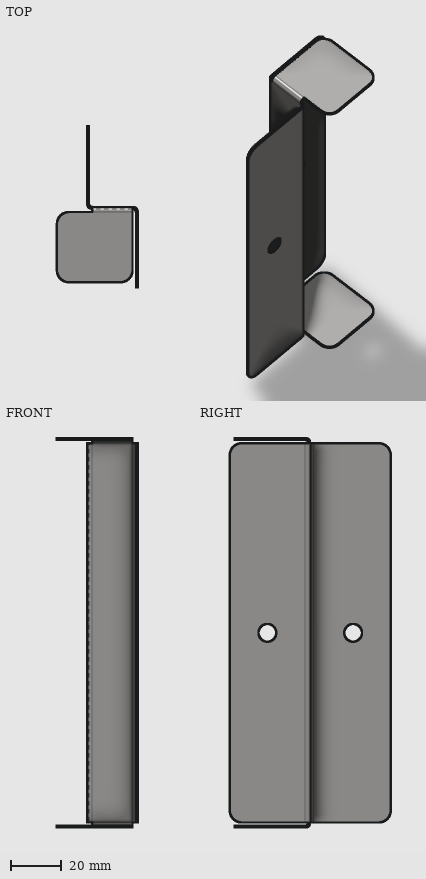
import cadquery as cq
import math

thickness = 0.8
outer_radius = 2.0
inner_radius = outer_radius - thickness
corner_radius = 5.0

total_height = 154.0
total_depth = 63.8
step_width = 20.0
front_flange_length = 31.9
tab_width = 30.0
tab_length = 29.9
hole_diameter = 7.0
hole_edge_distance = 15.0

plate_height = total_height - 2 * outer_radius
web_left = outer_radius
web_right = step_width - outer_radius
flange_end = total_depth / 2
web_rear = -flange_end + front_flange_length
web_front = web_rear - thickness
overlap = 2 * outer_radius


def arc_middle(center, radius, degrees):
    """Point on a bend arc at the given angle."""
    angle = math.radians(degrees)
    return center[0] + radius * math.cos(angle), center[1] + radius * math.sin(angle)


def make_stepped_plate():
    """Z-shaped section: rear flange, web and front flange, extruded upward."""
    rear_bend = (web_left, web_front + outer_radius)
    front_bend = (web_right, web_rear - outer_radius)
    return (
        cq.Workplane("XY")
        .workplane(offset=-plate_height / 2)
        .moveTo(0, flange_end)
        .lineTo(0, rear_bend[1])
        .threePointArc(arc_middle(rear_bend, outer_radius, 225), (web_left, web_front))
        .lineTo(web_right, web_front)
        .threePointArc(
            arc_middle(front_bend, inner_radius, 45),
            (step_width - thickness, front_bend[1]),
        )
        .lineTo(step_width - thickness, -flange_end)
        .lineTo(step_width, -flange_end)
        .lineTo(step_width, front_bend[1])
        .threePointArc(arc_middle(front_bend, outer_radius, 45), (web_right, web_rear))
        .lineTo(web_left, web_rear)
        .threePointArc(arc_middle(rear_bend, inner_radius, 225), (thickness, rear_bend[1]))
        .lineTo(thickness, flange_end)
        .close()
        .extrude(plate_height)
        .edges("|X and (>Y or <Y)")
        .fillet(corner_radius)
    )


def make_top_tab():
    """Tab bent forward from the top edge of the web, with three rounded corners."""
    bend = (web_rear - outer_radius, plate_height / 2)
    top = total_height / 2
    bend_strip = (
        cq.Workplane("YZ")
        .workplane(offset=web_left)
        .moveTo(web_rear, bend[1])
        .threePointArc(arc_middle(bend, outer_radius, 45), (bend[0], top))
        .lineTo(bend[0], top - thickness)
        .threePointArc(arc_middle(bend, inner_radius, 45), (web_front, bend[1]))
        .close()
        .extrude(web_right - web_left)
    )
    flat_length = tab_length - outer_radius
    flat = (
        cq.Workplane("XY")
        .box(tab_width, flat_length, thickness, centered=False)
        .edges("|Z and (<X or <Y)")
        .fillet(corner_radius)
        .translate((web_right - tab_width, bend[0] - flat_length, top - thickness))
    )
    return bend_strip.union(flat)


def make_hole_cutter():
    """One hole through each flange at mid-height."""
    hole_y = flange_end - hole_edge_distance
    return (
        cq.Workplane("YZ")
        .workplane(offset=-overlap)
        .pushPoints([(hole_y, 0), (-hole_y, 0)])
        .circle(hole_diameter / 2)
        .extrude(step_width + 2 * overlap)
    )


top_tab = make_top_tab()
bottom_tab = top_tab.mirror("XY")
result = make_stepped_plate().union(top_tab).union(bottom_tab).cut(make_hole_cutter())